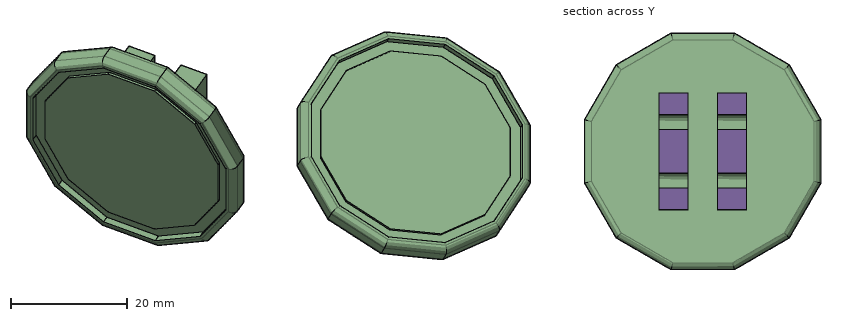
import cadquery as cq
import math

side_count = 12
disc_width = 40.5
total_depth = 14.4
leg_length = 10.0
disc_thickness = total_depth - leg_length
rim_fillet = 1.17

rim_width = 1.65
panel_inset = 3.55
groove_depth = 1.25
panel_height = 0.5

leg_thickness = leg_length / 2
leg_gap = leg_thickness
leg_height = 2 * leg_length
hole_diameter = 2.5
hole_spacing = leg_height / 2


def polygon_prism(width, front, depth):
    """Twelve-sided prism, measured across flats, running from Y = front toward +Y."""
    corner_diameter = width / math.cos(math.pi / side_count)
    return (
        cq.Workplane("XZ", origin=(0, front, 0))
        .transformed(rotate=(0, 0, 180 / side_count))
        .polygon(side_count, corner_diameter)
        .extrude(-depth)
    )


def make_disc():
    disc = polygon_prism(disc_width, 0, disc_thickness)
    disc = disc.faces("<Y or >Y").edges().fillet(rim_fillet)
    groove = polygon_prism(disc_width - 2 * rim_width, 0, groove_depth)
    panel = polygon_prism(disc_width - 2 * panel_inset, groove_depth - panel_height, panel_height)
    return disc.cut(groove.cut(panel))


def make_leg(side):
    leg_x = side * (leg_gap + leg_thickness) / 2
    leg_y = disc_thickness + leg_length / 2
    leg = cq.Workplane("XY").box(leg_thickness, leg_length, leg_height)
    holes = (
        cq.Workplane("YZ")
        .pushPoints([(0, -hole_spacing / 2), (0, hole_spacing / 2)])
        .circle(hole_diameter / 2)
        .extrude(leg_thickness, both=True)
    )
    return leg.cut(holes).translate((leg_x, leg_y, 0))


result = make_disc()
for side in (-1, 1):
    result = result.union(make_leg(side))